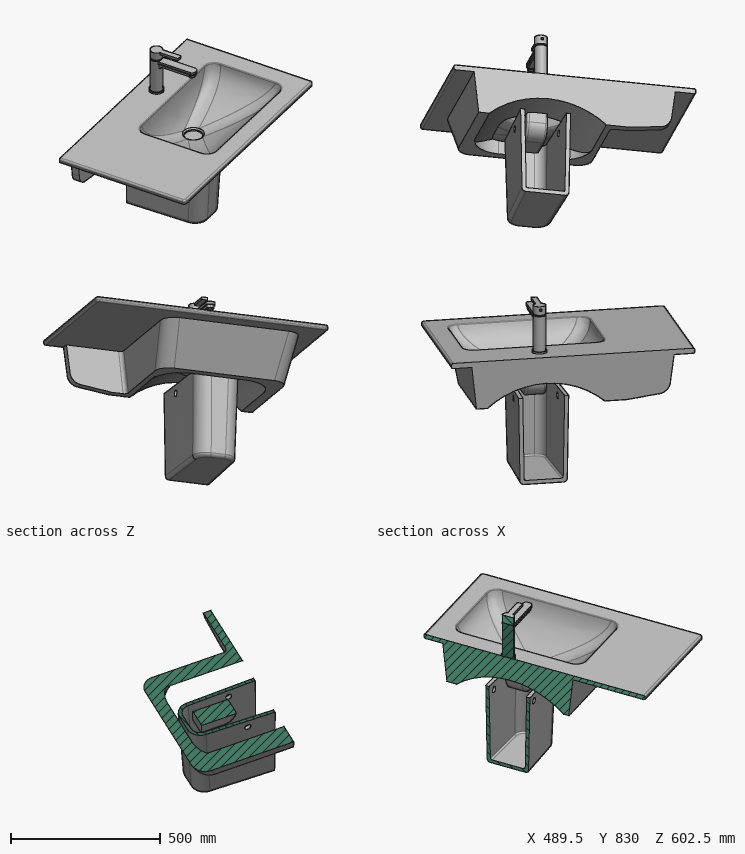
import cadquery as cq


TOLERANCE = 0.1

DECK_DEPTH = 489.5
DECK_LENGTH = 830.0
DECK_LEFT = 314.5
DECK_RIGHT = DECK_LEFT - DECK_LENGTH
DECK_THICK = 18.0
DECK_CORNER = 12.0
DECK_ROUND = 7.0

BODY_BOTTOM = -165.0
BODY_HALF_TOP = 245.0
BODY_HALF_BOTTOM = 229.0
BODY_FRONT_TOP = 429.0
BODY_FRONT_BOTTOM = 337.0
BODY_CORNER = 50.0

SLAB_THICK = 28.0
SLAB_BLEND = 13.0
SLAB_END_TOP = -445.0
SLAB_END_LOW = (-432.0, -109.5)
SLAB_CORNER_MID = (-421.5, -138.0)
SLAB_CORNER_END = (-392.5, -152.0)
SLAB_TOE = -284.0

ARCH_TOP = -90.5
ARCH_LEFT = 192.0
ARCH_RIGHT = -208.0
ARCH_DEPTH = 307.0
ARCH_CORNER = 104.0

BOWL_BACK = 133.0
BOWL_FRONT = 425.0
BOWL_HALF = 241.5
SHELL = 10.0
DRAIN_X = 212.0
DRAIN_RADIUS = 36.5
DRAIN_FLAT = 1.0
DRAIN_FLOOR = -126.0
DRAIN_SEAT_RADIUS = 31.5
DRAIN_BEVEL = DRAIN_RADIUS - DRAIN_SEAT_RADIUS
DRAIN_SINK = 10.0
RIM_ROUND = 3.0
BOWL_SECTIONS = [
    (0.0, BOWL_BACK, BOWL_FRONT, BOWL_HALF, 37.0),
    (-70.5, 146.0, 368.5, 187.5, 41.5),
    (DRAIN_FLOOR, DRAIN_X - DRAIN_RADIUS, DRAIN_X + DRAIN_RADIUS, DRAIN_RADIUS, DRAIN_RADIUS - DRAIN_FLAT),
]

CHANNEL_HALF = 36.0
CHANNEL_BOTTOM = -177.0
CHANNEL_BACK = 116.0
CHANNEL_ROUND = 50.0
CHANNEL_EDGE = 7.5

PED_TOP = -137.0
PED_BOTTOM = -439.0
PED_HALF_TOP = 85.5
PED_HALF_BOTTOM = 80.5
PED_FRONT_TOP = 299.0
PED_FRONT_BOTTOM = 281.0
PED_WALL = 14.0
PED_NARROWING = 8.0
PED_CORNER = 48.0
PED_EDGE = 13.0
PED_FLOOR_ROUND = 6.0
PED_HOLE_X = 99.5
PED_HOLE_Z = -167.0
PED_HOLE_RADIUS = 11.0

TAP_X = 68.0
TAP_RADIUS = 21.5
TAP_FLANGE_RADIUS = 26.0
TAP_FLANGE_HEIGHT = 6.0
TAP_TOP = 129.0
TAP_NECK_RADIUS = 19.0
HANDLE_BOTTOM = 133.0
HANDLE_TOP = 163.5
LEVER_END = 158.0
LEVER_HALF = 10.0
LEVER_THICK = 9.0
SCREW_RADIUS = 4.0
SCREW_Z = 151.0
SCREW_DEPTH = 4.0
SPOUT_END = 221.5
SPOUT_HALF = 16.0
SPOUT_THICK = 10.0
SPOUT_CORNER = 12.5
CHEEK_END = 218.0
CHEEK_HALF = 12.5
CHEEK_BOTTOM = 108.0
GUSSET_END = 95.0
GUSSET_BOTTOM = 99.5
AERATOR_X = 205.0
AERATOR_RADIUS = 10.0
AERATOR_BOTTOM = 104.0


def rounded_section(z, back, front, half, corner):
    """Closed rounded rectangle at height z."""
    return (
        cq.Sketch()
        .rect(front - back, 2 * half)
        .vertices()
        .fillet(corner)
        .moved(cq.Location(cq.Vector((back + front) / 2, 0, z)))
    )


def bowl_solid(grow):
    """Bowl hollow, widened and lowered by grow."""
    sections = [
        rounded_section(z - grow, back - grow, front + grow, half + grow, corner + grow)
        for z, back, front, half, corner in BOWL_SECTIONS
    ]
    return cq.Workplane().placeSketch(*sections).loft()


def front_rounded_loft(upper, lower, corner, narrowing=0):
    """Tapered block from the wall with rounded front corners.

    Each end is given as (Z, half width at the wall, front X); both sides close in by
    narrowing toward the front.
    """
    sections = [
        cq.Sketch()
        .polygon([
            (0, half),
            (front, half - narrowing),
            (front, narrowing - half),
            (0, -half),
            (0, half),
        ])
        .vertices(">X")
        .fillet(corner)
        .moved(cq.Location(cq.Vector(0, 0, z)))
        for z, half, front in (lower, upper)
    ]
    return cq.Workplane().placeSketch(*sections).loft()


def make_deck():
    """Flat deck, square against the wall and rounded on its three free sides."""
    deck = (
        cq.Workplane()
        .box(DECK_DEPTH, DECK_LENGTH, DECK_THICK, centered=False)
        .translate((0, DECK_RIGHT, -DECK_THICK))
    )
    deck = deck.edges("|Z and >X").fillet(DECK_CORNER)
    return deck.faces("|Z").edges("not <X").fillet(DECK_ROUND)


def make_slab():
    """Wall slab with a sloped, rounded far end."""
    return (
        cq.Workplane("YZ")
        .moveTo(0, -DECK_THICK)
        .lineTo(SLAB_END_TOP, -DECK_THICK)
        .lineTo(*SLAB_END_LOW)
        .threePointArc(SLAB_CORNER_MID, SLAB_CORNER_END)
        .lineTo(SLAB_TOE, BODY_BOTTOM)
        .lineTo(0, BODY_BOTTOM)
        .close()
        .extrude(SLAB_THICK)
    )


def make_recess():
    """Arched hollow under the body, open to the wall and below, with rounded front corners."""
    arch = (
        cq.Workplane("YZ")
        .moveTo(ARCH_LEFT, BODY_BOTTOM)
        .threePointArc(((ARCH_LEFT + ARCH_RIGHT) / 2, ARCH_TOP), (ARCH_RIGHT, BODY_BOTTOM))
        .close()
        .extrude(ARCH_DEPTH)
    )
    width = ARCH_LEFT - ARCH_RIGHT
    plan = (
        cq.Workplane()
        .box(ARCH_DEPTH, width, -BODY_BOTTOM, centered=False)
        .translate((0, ARCH_RIGHT, BODY_BOTTOM))
        .edges("|Z and >X")
        .fillet(ARCH_CORNER)
    )
    return arch.intersect(plan)


def make_channel():
    """Overflow channel behind the bowl, curving under to the drain."""
    front = DRAIN_X + DRAIN_RADIUS
    block = (
        cq.Workplane()
        .box(front - CHANNEL_BACK, 2 * CHANNEL_HALF, -CHANNEL_BOTTOM - DECK_THICK, centered=False)
        .translate((CHANNEL_BACK, -CHANNEL_HALF, CHANNEL_BOTTOM))
    )
    block = block.edges("<X and <Z").fillet(CHANNEL_ROUND)
    return block.edges("|Z and <X").fillet(CHANNEL_EDGE)


def make_drain():
    """Round drain seat with a bevelled mouth."""
    seat = (
        cq.Workplane(origin=(DRAIN_X, 0, DRAIN_FLOOR - DRAIN_SINK))
        .circle(DRAIN_SEAT_RADIUS)
        .extrude(DRAIN_SINK)
    )
    bevel = (
        cq.Workplane(origin=(DRAIN_X, 0, DRAIN_FLOOR - DRAIN_BEVEL))
        .circle(DRAIN_SEAT_RADIUS)
        .workplane(offset=DRAIN_BEVEL)
        .circle(DRAIN_RADIUS)
        .loft()
    )
    return seat.union(bevel)


def make_basin():
    """Deck, slab and hollow-backed body in one piece, with the bowl sunk into it."""
    body = front_rounded_loft(
        (-DECK_THICK, BODY_HALF_TOP, BODY_FRONT_TOP),
        (BODY_BOTTOM, BODY_HALF_BOTTOM, BODY_FRONT_BOTTOM),
        BODY_CORNER,
    )
    shell = bowl_solid(SHELL).intersect(body)
    body = body.union(make_slab())
    inner_corner = cq.selectors.BoxSelector(
        (SLAB_THICK - TOLERANCE, -BODY_HALF_TOP, BODY_BOTTOM / 2 - DECK_THICK),
        (SLAB_THICK + TOLERANCE, -BODY_HALF_BOTTOM, BODY_BOTTOM / 2),
    )
    body = body.edges(inner_corner).fillet(SLAB_BLEND)
    body = body.cut(make_recess())
    basin = body.union(shell).union(make_channel()).union(make_deck())
    basin = basin.cut(bowl_solid(0)).cut(make_drain())
    rim = cq.selectors.BoxSelector(
        (BOWL_BACK - TOLERANCE, -BOWL_HALF - TOLERANCE, -TOLERANCE),
        (BOWL_FRONT + TOLERANCE, BOWL_HALF + TOLERANCE, TOLERANCE),
    )
    return basin.edges(rim).fillet(RIM_ROUND)


def make_pedestal():
    """Tapered half pedestal, open at the top and at the wall, with a hole through both sides."""
    outer = front_rounded_loft(
        (PED_TOP, PED_HALF_TOP, PED_FRONT_TOP),
        (PED_BOTTOM, PED_HALF_BOTTOM, PED_FRONT_BOTTOM),
        PED_CORNER,
        PED_NARROWING,
    )
    outer = outer.faces("<Z").edges("not <X").fillet(PED_EDGE)
    inner = front_rounded_loft(
        (PED_TOP, PED_HALF_TOP - PED_WALL, PED_FRONT_TOP - PED_WALL),
        (PED_BOTTOM + PED_WALL, PED_HALF_BOTTOM - PED_WALL, PED_FRONT_BOTTOM - PED_WALL),
        PED_CORNER - PED_WALL,
        PED_NARROWING,
    )
    inner = inner.faces("<Z").edges("not <X").fillet(PED_FLOOR_ROUND)
    hole = (
        cq.Workplane("XZ", origin=(PED_HOLE_X, 0, PED_HOLE_Z))
        .circle(PED_HOLE_RADIUS)
        .extrude(2 * PED_HALF_TOP, both=True)
    )
    return outer.cut(inner).cut(hole)


def tap_cylinder(x, radius, bottom, top):
    """Upright cylinder on the tap centre line."""
    return cq.Workplane(origin=(x, 0, bottom)).circle(radius).extrude(top - bottom)


def tap_arm(end, half, bottom, top):
    """Bar from the tap axis toward the bowl."""
    return (
        cq.Workplane()
        .box(end - TAP_X, 2 * half, top - bottom, centered=(False, True, False))
        .translate((TAP_X, 0, bottom))
    )


def make_tap():
    """Tap column with its flange, spout and aerator."""
    flange = tap_cylinder(TAP_X, TAP_FLANGE_RADIUS, 0, TAP_FLANGE_HEIGHT)
    column = tap_cylinder(TAP_X, TAP_RADIUS, 0, TAP_TOP)
    neck = tap_cylinder(TAP_X, TAP_NECK_RADIUS, TAP_TOP, HANDLE_BOTTOM)
    spout = tap_arm(SPOUT_END, SPOUT_HALF, TAP_TOP - SPOUT_THICK, TAP_TOP)
    cheek = tap_arm(CHEEK_END, CHEEK_HALF, CHEEK_BOTTOM, TAP_TOP - SPOUT_THICK)
    spout = spout.edges("|Z and >X").fillet(SPOUT_CORNER)
    cheek = cheek.edges("|Z and >X").fillet(SPOUT_CORNER - (SPOUT_HALF - CHEEK_HALF))
    gusset = (
        cq.Workplane("XZ")
        .polyline([
            (TAP_X, CHEEK_BOTTOM),
            (GUSSET_END, CHEEK_BOTTOM),
            (TAP_X + TAP_RADIUS, GUSSET_BOTTOM),
            (TAP_X, GUSSET_BOTTOM),
        ])
        .close()
        .extrude(CHEEK_HALF, both=True)
    )
    aerator = tap_cylinder(AERATOR_X, AERATOR_RADIUS, AERATOR_BOTTOM, CHEEK_BOTTOM)
    tap = column.union(flange).union(neck)
    for part in (spout, cheek, gusset, aerator):
        tap = tap.union(part)
    return tap


def make_handle():
    """Cap and lever on top of the tap, with a screw hole at the back."""
    cap = tap_cylinder(TAP_X, TAP_RADIUS, HANDLE_BOTTOM, HANDLE_TOP)
    lever = tap_arm(LEVER_END, LEVER_HALF, HANDLE_TOP - LEVER_THICK, HANDLE_TOP)
    screw = (
        cq.Workplane("YZ", origin=(TAP_X - TAP_RADIUS, 0, SCREW_Z))
        .circle(SCREW_RADIUS)
        .extrude(SCREW_DEPTH)
    )
    return cap.union(lever).cut(screw)


basin = make_basin()
pedestal = make_pedestal()
tap = make_tap()
handle = make_handle()

result = cq.Compound.makeCompound([body.solids().val() for body in (basin, pedestal, tap, handle)])